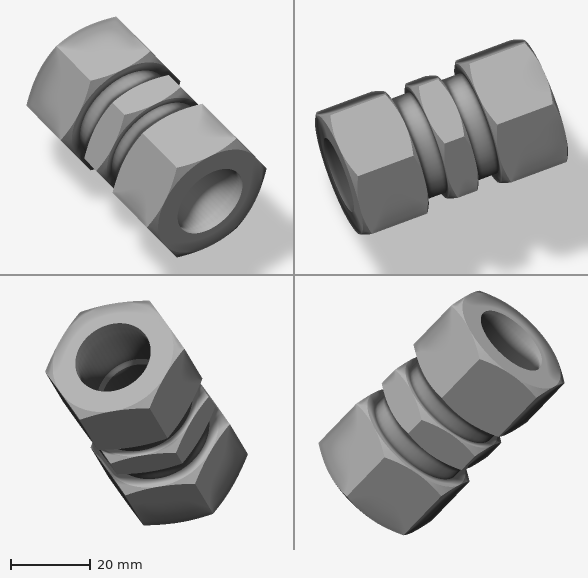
import cadquery as cq
import math

total_length = 56.0
nut_length = 18.0
nut_flats = 32.0
collar_length = 8.0
collar_flats = 30.0
body_diameter = 27.0
socket_diameter = 20.0
socket_depth = nut_length
bore_diameter = 18.0
shoulder_angle = 45.0
chamfer_angle = 30.0


def cylinder(diameter, length, start):
    """Cylinder along +X whose first face is at x = start."""
    return cq.Workplane("YZ", origin=(start, 0, 0)).circle(diameter / 2).extrude(length)


def chamfered_hexagon(flats, length, start):
    """Hexagon along X with corners on +Y and -Y, turned conically at both ends."""
    corner_radius = flats / math.sqrt(3)
    face_radius = flats / 2
    chamfer_length = (corner_radius - face_radius) * math.tan(math.radians(chamfer_angle))
    prism = (
        cq.Workplane("YZ", origin=(start, 0, 0))
        .polygon(6, 2 * corner_radius)
        .extrude(length)
    )
    end = start + length
    envelope = (
        cq.Workplane("XY")
        .moveTo(start, 0)
        .lineTo(start, face_radius)
        .lineTo(start + chamfer_length, corner_radius)
        .lineTo(end - chamfer_length, corner_radius)
        .lineTo(end, face_radius)
        .lineTo(end, 0)
        .close()
        .revolve(360, (0, 0, 0), (1, 0, 0))
    )
    return prism.intersect(envelope)


left_end = -total_length / 2
right_nut_start = total_length / 2 - nut_length

fitting = cylinder(body_diameter, total_length - 2 * nut_length, left_end + nut_length)
fitting = fitting.union(chamfered_hexagon(collar_flats, collar_length, -collar_length / 2))
for nut_start in (left_end, right_nut_start):
    fitting = fitting.union(chamfered_hexagon(nut_flats, nut_length, nut_start))

socket_radius = socket_diameter / 2
bore_radius = bore_diameter / 2
shoulder_length = (socket_radius - bore_radius) / math.tan(math.radians(shoulder_angle))
socket_floor = total_length / 2 - socket_depth
shoulder_end = socket_floor - shoulder_length
bore = (
    cq.Workplane("XY")
    .moveTo(left_end, 0)
    .lineTo(left_end, socket_radius)
    .lineTo(-socket_floor, socket_radius)
    .lineTo(-shoulder_end, bore_radius)
    .lineTo(shoulder_end, bore_radius)
    .lineTo(socket_floor, socket_radius)
    .lineTo(total_length / 2, socket_radius)
    .lineTo(total_length / 2, 0)
    .close()
    .revolve(360, (0, 0, 0), (1, 0, 0))
)

result = fitting.cut(bore)